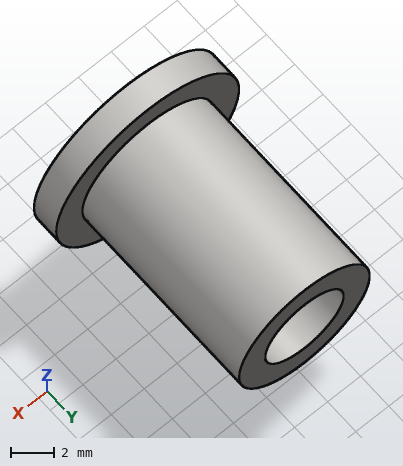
import cadquery as cq

total_length = 12.7
flange_diameter = 11.11
flange_thickness = 1.59
barrel_diameter = 7.94
bore_diameter = 4.76


def cylinder_along_y(diameter, length):
    """Solid cylinder from the flange face (Y = 0) toward +Y."""
    return cq.Workplane("XZ").circle(diameter / 2).extrude(-length)


flange = cylinder_along_y(flange_diameter, flange_thickness)
barrel = cylinder_along_y(barrel_diameter, total_length)
bore = cylinder_along_y(bore_diameter, total_length)

result = flange.union(barrel).cut(bore)